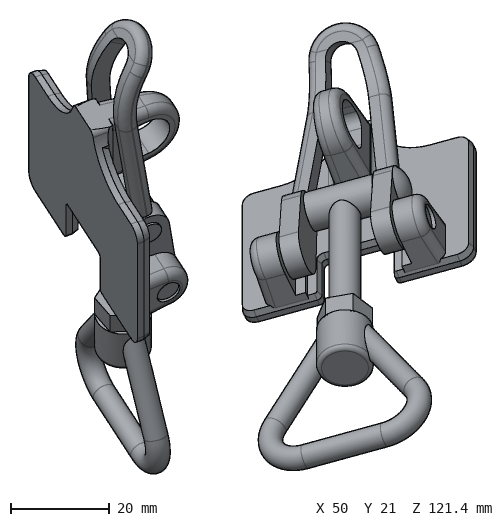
import cadquery as cq
import math


selection_margin = 0.1

plate_width = 50.0
plate_bottom = -5.9
shoulder_z = 29.2
tab_top = 39.1
plate_thickness = 3.0
plate_straight_edge = 1.5
plate_edge_inset = 0.5
plate_corner_radius = 3.0
shoulder_start_x = 16.2
shoulder_radius = 12.0
tab_corner_radius = 1.6
notch_width = 15.7
notch_top = 5.2
notch_corner_radius = 1.0

pivot_y = 10.0
lug_nose_radius = 5.15
lug_base_half_height = 5.8
lug_inner_x = 12.55
lug_tip_x = 18.8
lug_base_x = 19.65
lug_edge_radius = 2.0
pad_inner_x = 10.4
pad_height = 1.0
pad_overlap = 1.0

eye_center_y = 13.2
eye_center_z = 30.0
eye_reach_y = 21.0
eye_outer_radius = eye_reach_y - eye_center_y
eye_hole_radius = 4.9
eye_hole_end_y = 9.0
eye_hole_corner_radius = 2.5
eye_base_half_width = 4.0
eye_tip_half_width = 2.7
eye_edge_radius = 1.8
eye_foot_bottom = 21.0
eye_foot_flare = 1.8

rod_y = 9.0
rivet_z = 12.0
cheek_inner_x = 7.8
cheek_outer_x = 12.0
cheek_pivot_radius = 5.0
cheek_top_radius = 4.6
pin_radius = 2.6
pin_end_x = 18.2
arm_thickness = 4.0
arm_edge_radius = 1.9
arm_start = (8.85, 13.5)
arm_bend_start = (6.46, 41.2)
arm_bend_radius = 21.0
arm_tip_heading = math.radians(53.0)
arm_top_z = 60.0
loop_radius = 5.5
loop_leg_angle = math.radians(7.7)

rivet_radius = 2.6
rivet_head_height = 2.1
rivet_end_x = 12.5

rod_radius = 3.25
rod_bottom = -33.0
barrel_radius = 4.1
barrel_half_length = 7.4
nut_across_flats = 10.0
nut_top = -20.2
nut_bottom = -25.2
nut_turn = 7.3
hub_radius = 5.75
hub_bottom = -36.2
hub_edge_radius = 1.0
ring_wire_radius = 2.5
overall_height = 121.37
ring_bottom = arm_top_z - overall_height
ring_bend_radius = 7.5
ring_bend_x = 8.6
ring_leg_end_x = 3.0
ring_leg_angle = math.radians(30.0)


def yz_extrude(sketch, x_start, x_end):
    """Move a wire drawn on the YZ plane to x_start and extrude it to x_end."""
    return sketch.extrude(x_end - x_start).translate((x_start, 0, 0))


def x_cylinder(radius, y, z, x_start, x_end):
    return yz_extrude(cq.Workplane("YZ").center(y, z).circle(radius), x_start, x_end)


def z_cylinder(radius, z_start, z_end):
    return (
        cq.Workplane("XY").center(0, rod_y).circle(radius)
        .extrude(z_end - z_start).translate((0, 0, z_start))
    )


def mirrored(body):
    """The body joined with its mirror image across X = 0."""
    return body.union(body.mirror("YZ"))


def make_plate_blank(depth):
    """The plate outline, with its corners rounded, extruded forward from Y = 0."""
    half_width = plate_width / 2
    center_z = shoulder_z + shoulder_radius
    arc_end_x = shoulder_start_x - math.sqrt(shoulder_radius**2 - (center_z - tab_top) ** 2)
    end_angle = math.atan2(tab_top - center_z, shoulder_start_x - arc_end_x)
    mid_angle = (end_angle - math.pi / 2) / 2
    mid_x = shoulder_start_x - shoulder_radius * math.cos(mid_angle)
    mid_z = center_z + shoulder_radius * math.sin(mid_angle)
    outline = (
        cq.Workplane("XZ")
        .moveTo(-half_width, plate_bottom)
        .lineTo(-half_width, shoulder_z)
        .lineTo(-shoulder_start_x, shoulder_z)
        .threePointArc((-mid_x, mid_z), (-arc_end_x, tab_top))
        .lineTo(arc_end_x, tab_top)
        .threePointArc((mid_x, mid_z), (shoulder_start_x, shoulder_z))
        .lineTo(half_width, shoulder_z)
        .lineTo(half_width, plate_bottom)
        .lineTo(notch_width / 2, plate_bottom)
        .lineTo(notch_width / 2, notch_top)
        .lineTo(-notch_width / 2, notch_top)
        .lineTo(-notch_width / 2, plate_bottom)
        .close()
    )
    plate = outline.extrude(-depth)
    plate = plate.edges("|Y").edges("<X or >X").fillet(plate_corner_radius)
    plate = plate.edges("|Y").edges(">Z").fillet(tab_corner_radius)
    notch_box = cq.selectors.BoxSelector(
        (-notch_width / 2 - selection_margin, -selection_margin, plate_bottom - selection_margin),
        (notch_width / 2 + selection_margin, depth + selection_margin, notch_top + selection_margin),
    )
    return plate.edges("|Y").edges(notch_box).fillet(notch_corner_radius)


def make_plate():
    edge_height = plate_thickness - plate_straight_edge
    return make_plate_blank(plate_thickness).faces(">Y").chamfer(edge_height, plate_edge_inset)


def make_lug():
    """Right-hand lug with its rounded nose, drafted outer face and inner pad."""
    lug = yz_extrude(
        cq.Workplane("YZ")
        .moveTo(0, -lug_base_half_height)
        .lineTo(pivot_y, -lug_nose_radius)
        .threePointArc((pivot_y + lug_nose_radius, 0), (pivot_y, lug_nose_radius))
        .lineTo(0, lug_base_half_height)
        .close(),
        lug_inner_x, lug_base_x,
    )
    reach = pivot_y + lug_nose_radius
    plan = (
        cq.Workplane("XY", origin=(0, 0, -lug_base_half_height))
        .moveTo(lug_inner_x, plate_straight_edge)
        .lineTo(lug_base_x, plate_straight_edge)
        .lineTo(lug_tip_x, pivot_y)
        .lineTo(lug_tip_x, reach)
        .lineTo(lug_inner_x, reach)
        .close()
        .extrude(2 * lug_base_half_height)
    )
    lug = lug.intersect(plan)
    outer_rim = cq.selectors.BoxSelector(
        (lug_tip_x - selection_margin, plate_straight_edge + selection_margin, -lug_base_half_height),
        (lug_base_x, reach, lug_base_half_height),
    )
    lug = lug.edges(outer_rim).edges("not |Z").fillet(lug_edge_radius)
    pad_top = plate_thickness + pad_height
    pad = (
        cq.Workplane("XY", origin=(0, 0, -lug_base_half_height))
        .moveTo(pad_inner_x, plate_straight_edge)
        .lineTo(lug_inner_x + pad_overlap, plate_straight_edge)
        .lineTo(lug_inner_x + pad_overlap, pad_top)
        .lineTo(pad_inner_x, pad_top)
        .close()
        .extrude(2 * lug_base_half_height)
    )
    return lug.union(pad.intersect(lug.translate((pad_inner_x - lug_inner_x, 0, 0))))


def make_eye():
    eye = yz_extrude(
        cq.Workplane("YZ")
        .moveTo(0, eye_foot_bottom)
        .lineTo(eye_center_y, eye_center_z - eye_outer_radius)
        .threePointArc((eye_reach_y, eye_center_z), (eye_center_y, eye_center_z + eye_outer_radius))
        .lineTo(0, tab_top)
        .close(),
        -eye_base_half_width, eye_base_half_width,
    )
    plan = (
        cq.Workplane("XY", origin=(0, 0, eye_foot_bottom))
        .moveTo(-eye_base_half_width, 0)
        .lineTo(-eye_base_half_width, plate_thickness)
        .lineTo(-eye_tip_half_width, eye_reach_y)
        .lineTo(eye_tip_half_width, eye_reach_y)
        .lineTo(eye_base_half_width, plate_thickness)
        .lineTo(eye_base_half_width, 0)
        .close()
        .extrude(tab_top - eye_foot_bottom)
    )
    eye = eye.intersect(plan)
    rim = cq.selectors.BoxSelector(
        (-eye_base_half_width, plate_thickness + selection_margin, eye_foot_bottom - selection_margin),
        (eye_base_half_width, eye_reach_y + selection_margin, tab_top + selection_margin),
    )
    eye = eye.edges(rim).edges("not |X").edges("not #Z").fillet(eye_edge_radius)
    hole = yz_extrude(
        cq.Workplane("YZ")
        .moveTo(eye_hole_end_y, eye_center_z - eye_hole_radius)
        .lineTo(eye_center_y, eye_center_z - eye_hole_radius)
        .threePointArc(
            (eye_center_y + eye_hole_radius, eye_center_z),
            (eye_center_y, eye_center_z + eye_hole_radius),
        )
        .lineTo(eye_hole_end_y, eye_center_z + eye_hole_radius)
        .close(),
        -eye_base_half_width, eye_base_half_width,
    )
    return eye.cut(hole.edges("|X and <Y").fillet(eye_hole_corner_radius))


def space_above_eye():
    """Wedge above the sloping top of the eye, which carries on across the plate."""
    half_width = 2 * eye_base_half_width
    return yz_extrude(
        cq.Workplane("YZ")
        .moveTo(0, tab_top)
        .lineTo(eye_center_y, eye_center_z + eye_outer_radius)
        .lineTo(eye_center_y, tab_top)
        .close(),
        -half_width, half_width,
    )


def make_eye_foot():
    """Foot with concave flanks where the eye meets the plate, kept inside the plate outline."""
    start_y = plate_thickness
    end_y = plate_thickness + eye_foot_flare
    arc_mid = eye_foot_flare * (1 - math.sqrt(0.5))
    wide = eye_base_half_width + eye_foot_flare
    plan = (
        cq.Workplane("XY", origin=(0, 0, eye_foot_bottom - eye_foot_flare))
        .moveTo(-wide, plate_straight_edge)
        .lineTo(-wide, start_y)
        .threePointArc(
            (-eye_base_half_width - arc_mid, start_y + arc_mid),
            (-eye_base_half_width, end_y),
        )
        .lineTo(eye_base_half_width, end_y)
        .threePointArc(
            (eye_base_half_width + arc_mid, start_y + arc_mid),
            (wide, start_y),
        )
        .lineTo(wide, plate_straight_edge)
        .close()
        .extrude(tab_top - eye_foot_bottom + eye_foot_flare)
    )
    profile = yz_extrude(
        cq.Workplane("YZ")
        .moveTo(plate_straight_edge, eye_foot_bottom - eye_foot_flare)
        .lineTo(start_y, eye_foot_bottom - eye_foot_flare)
        .threePointArc(
            (start_y + arc_mid, eye_foot_bottom - arc_mid),
            (end_y, eye_foot_bottom),
        )
        .lineTo(end_y, tab_top)
        .lineTo(plate_straight_edge, tab_top)
        .close(),
        -wide, wide,
    )
    return plan.intersect(profile).intersect(make_plate_blank(end_y))


def make_base():
    body = make_plate().union(make_eye()).union(make_eye_foot()).cut(space_above_eye())
    base = body.union(mirrored(make_lug()))
    return base.cut(x_cylinder(pin_radius, pivot_y, 0, -lug_base_x, lug_base_x))


def make_cheek():
    """Right-hand cheek: the hull of a round pivot end and a round rivet end."""
    offset_y = rod_y - pivot_y
    distance = math.hypot(offset_y, rivet_z)
    axis_angle = math.atan2(rivet_z, offset_y)
    spread = math.acos((cheek_pivot_radius - cheek_top_radius) / distance)

    def on_pivot(angle):
        return (pivot_y + cheek_pivot_radius * math.cos(angle), cheek_pivot_radius * math.sin(angle))

    def on_top(angle):
        return (rod_y + cheek_top_radius * math.cos(angle), rivet_z + cheek_top_radius * math.sin(angle))

    sketch = (
        cq.Workplane("YZ")
        .moveTo(*on_pivot(axis_angle - spread))
        .lineTo(*on_top(axis_angle - spread))
        .threePointArc(on_top(axis_angle), on_top(axis_angle + spread))
        .lineTo(*on_pivot(axis_angle + spread))
        .threePointArc(on_pivot(axis_angle + math.pi), on_pivot(axis_angle - spread))
        .close()
    )
    return yz_extrude(sketch, cheek_inner_x, cheek_outer_x)


def make_arm():
    """U-shaped arm: a bent strip trimmed to a tapering loop, rounded along its outside."""
    start_y, start_z = arm_start
    bend_y, bend_z = arm_bend_start
    start_heading = math.atan2(bend_z - start_z, bend_y - start_y)
    center_y = bend_y + arm_bend_radius * math.sin(start_heading)
    center_z = bend_z - arm_bend_radius * math.cos(start_heading)
    half = arm_thickness / 2

    def on_bend(heading, offset):
        radius = arm_bend_radius + offset
        return (center_y - radius * math.sin(heading), center_z + radius * math.cos(heading))

    def beside(point, heading, offset):
        return (point[0] - offset * math.sin(heading), point[1] + offset * math.cos(heading))

    mid_heading = (start_heading + arm_tip_heading) / 2
    tip_dir = (math.cos(arm_tip_heading), math.sin(arm_tip_heading))
    bend_end = on_bend(arm_tip_heading, 0)
    overrun_length = 10.0
    overrun = (bend_end[0] + overrun_length * tip_dir[0], bend_end[1] + overrun_length * tip_dir[1])
    strip_half_width = 15.0
    strip = yz_extrude(
        cq.Workplane("YZ")
        .moveTo(*beside(arm_start, start_heading, half))
        .lineTo(*on_bend(start_heading, half))
        .threePointArc(on_bend(mid_heading, half), on_bend(arm_tip_heading, half))
        .lineTo(*beside(overrun, arm_tip_heading, half))
        .lineTo(*beside(overrun, arm_tip_heading, -half))
        .lineTo(*on_bend(arm_tip_heading, -half))
        .threePointArc(on_bend(mid_heading, -half), on_bend(start_heading, -half))
        .lineTo(*beside(arm_start, start_heading, -half))
        .close(),
        -strip_half_width, strip_half_width,
    )

    rim_flat = half - arm_edge_radius
    apex_z = arm_top_z - arm_edge_radius - rim_flat * (tip_dir[0] + tip_dir[1])
    loop_center = (apex_z - bend_end[1]) / tip_dir[1] - loop_radius
    plane = cq.Plane(
        origin=(0, bend_end[0], bend_end[1]),
        xDir=(1, 0, 0),
        normal=(0, -tip_dir[1], tip_dir[0]),
    )
    leg_length = 45.0
    cutter_reach = 60.0
    cos_leg = math.cos(loop_leg_angle)
    sin_leg = math.sin(loop_leg_angle)

    def loop(radius):
        tangent_x = radius * cos_leg
        tangent_y = loop_center + radius * sin_leg
        foot_x = tangent_x + leg_length * sin_leg
        foot_y = tangent_y - leg_length * cos_leg
        return (
            cq.Workplane(plane)
            .moveTo(-foot_x, foot_y)
            .lineTo(-tangent_x, tangent_y)
            .threePointArc((0, loop_center + radius), (tangent_x, tangent_y))
            .lineTo(foot_x, foot_y)
            .close()
            .extrude(cutter_reach, both=True)
        )

    arm = strip.intersect(loop(loop_radius + half))
    arm = arm.faces("not #X").edges("not |X").fillet(arm_edge_radius)
    return arm.cut(loop(loop_radius - half))


def make_lever():
    cheek = make_cheek()
    pin = x_cylinder(pin_radius, pivot_y, 0, cheek_inner_x, pin_end_x)
    lever = make_arm().union(mirrored(cheek.union(pin)))
    return lever.cut(x_cylinder(rivet_radius, rod_y, rivet_z, -cheek_outer_x, cheek_outer_x))


def head_mid_point():
    """Point halfway along the domed profile of the rivet head."""
    sphere = (cheek_top_radius**2 + rivet_head_height**2) / (2 * rivet_head_height)
    half_angle = math.asin(cheek_top_radius / sphere) / 2
    center_x = -cheek_outer_x - rivet_head_height + sphere
    return (center_x - sphere * math.cos(half_angle), sphere * math.sin(half_angle))


def make_rivet():
    shank = x_cylinder(rivet_radius, rod_y, rivet_z, -cheek_outer_x, rivet_end_x)
    head = (
        cq.Workplane("XY")
        .moveTo(-cheek_outer_x, 0)
        .lineTo(-cheek_outer_x, cheek_top_radius)
        .threePointArc(head_mid_point(), (-cheek_outer_x - rivet_head_height, 0))
        .close()
        .revolve(360, (0, 0, 0), (1, 0, 0))
        .translate((0, rod_y, rivet_z))
    )
    return shank.union(head)


def make_rod():
    barrel = x_cylinder(barrel_radius, rod_y, rivet_z, -barrel_half_length, barrel_half_length)
    rod = z_cylinder(rod_radius, rod_bottom, rivet_z).union(barrel)
    return rod.cut(x_cylinder(rivet_radius, rod_y, rivet_z, -cheek_outer_x, cheek_outer_x))


def make_nut():
    nut = (
        cq.Workplane("XY")
        .polygon(6, nut_across_flats / math.cos(math.pi / 6))
        .extrude(nut_top - nut_bottom)
        .rotate((0, 0, 0), (0, 0, 1), nut_turn)
        .translate((0, rod_y, nut_bottom))
    )
    return nut.cut(z_cylinder(rod_radius, nut_bottom, nut_top))


def make_ring():
    bar_z = ring_bottom + ring_wire_radius
    bend_z = bar_z + ring_bend_radius

    def on_bend(angle):
        offset_x = ring_bend_radius * math.cos(angle)
        offset_z = ring_bend_radius * math.sin(angle)
        return (ring_bend_x + offset_x, bend_z + offset_z)

    tangent_x, tangent_z = on_bend(ring_leg_angle)
    leg_end_z = tangent_z + (tangent_x - ring_leg_end_x) / math.tan(ring_leg_angle)
    mid_x, mid_z = on_bend((ring_leg_angle - math.pi / 2) / 2)
    path = (
        cq.Workplane("XZ", origin=(0, rod_y, 0))
        .moveTo(-ring_leg_end_x, leg_end_z)
        .lineTo(-tangent_x, tangent_z)
        .threePointArc((-mid_x, mid_z), (-ring_bend_x, bar_z))
        .lineTo(ring_bend_x, bar_z)
        .threePointArc((mid_x, mid_z), (tangent_x, tangent_z))
        .lineTo(ring_leg_end_x, leg_end_z)
    )
    leg_start = cq.Plane(
        origin=(-ring_leg_end_x, rod_y, leg_end_z),
        xDir=(0, 1, 0),
        normal=(-math.sin(ring_leg_angle), 0, -math.cos(ring_leg_angle)),
    )
    wire = cq.Workplane(leg_start).circle(ring_wire_radius).sweep(path)
    hub = z_cylinder(hub_radius, hub_bottom, nut_bottom).faces("<Z").edges().fillet(hub_edge_radius)
    return hub.union(wire).cut(z_cylinder(rod_radius, rod_bottom, nut_bottom))


base = make_base()
lever = make_lever()
rivet = make_rivet()
rod = make_rod()
nut = make_nut()
ring = make_ring()

result = cq.Compound.makeCompound(
    [base.val(), lever.val(), rivet.val(), rod.val(), nut.val(), ring.val()]
)